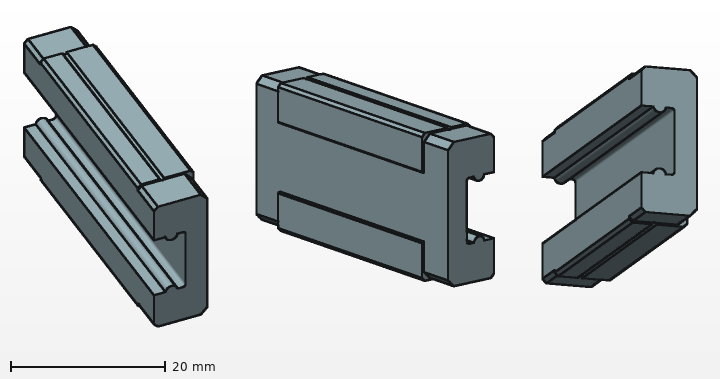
import cadquery as cq

length = 39.9
depth = 8.0
height = 20.0

cap_length = 5.0
cap_back_step = 0.35
cap_side_step = 0.25
cap_back_chamfer = 0.95
cap_front_chamfer = 0.55
body_chamfer = 0.48

channel_width = 8.95
web_front = 4.55
channel_fillet = 0.45

bead_height = 0.7
bead_radius = 0.88
bead_y = 2.5

recess_width = 9.35
recess_edge_chamfer = 0.15

groove_radius = 0.3
groove_y = 3.47

body_length = length - 2 * cap_length
cap_depth = depth - cap_back_step
cap_height = height - 2 * cap_side_step


def block(size_x, size_y, size_z, back_chamfer, front_chamfer):
    """Box with its front on Y = 0 and its four long outer edges chamfered."""
    box = cq.Workplane("XY").box(size_x, size_y, size_z).translate((0, size_y / 2, 0))
    box = box.faces(">Y").edges("|X").chamfer(back_chamfer)
    return box.faces("<Y").edges("|X").chamfer(front_chamfer)


def rod(size_x, radius, y, z):
    """Cylinder along X, centred on X = 0."""
    return cq.Workplane("YZ", origin=(-size_x / 2, y, z)).circle(radius).extrude(size_x)


def channel():
    """Space for the rail, with a bead left standing on each wall."""
    space = cq.Workplane("XY").box(length, web_front, channel_width)
    space = space.translate((0, web_front / 2, 0))
    space = space.faces(">Y").edges("|X").fillet(channel_fillet)
    bead_z = channel_width / 2 - bead_height + bead_radius
    for side in (-1, 1):
        space = space.cut(rod(length, bead_radius, bead_y, side * bead_z))
    return space


def back_recess():
    """Strip down to the cap depth, flared where it meets the back face."""
    half_floor = recess_width / 2
    half_mouth = half_floor + recess_edge_chamfer
    flare_start = depth - recess_edge_chamfer
    outline = [
        (cap_depth, -half_floor),
        (flare_start, -half_floor),
        (depth, -half_mouth),
        (depth, half_mouth),
        (flare_start, half_floor),
        (cap_depth, half_floor),
    ]
    plane = cq.Workplane("YZ", origin=(-body_length / 2, 0, 0))
    return plane.polyline(outline).close().extrude(body_length)


body = block(body_length, depth, height, body_chamfer, body_chamfer).cut(back_recess())
for side in (-1, 1):
    body = body.cut(rod(body_length, groove_radius, groove_y, side * height / 2))

cap = block(cap_length, cap_depth, cap_height, cap_back_chamfer, cap_front_chamfer)
cap_x = (length - cap_length) / 2
carriage = body.union(cap.translate((-cap_x, 0, 0)))
carriage = carriage.union(cap.translate((cap_x, 0, 0)))

result = carriage.cut(channel()).clean()